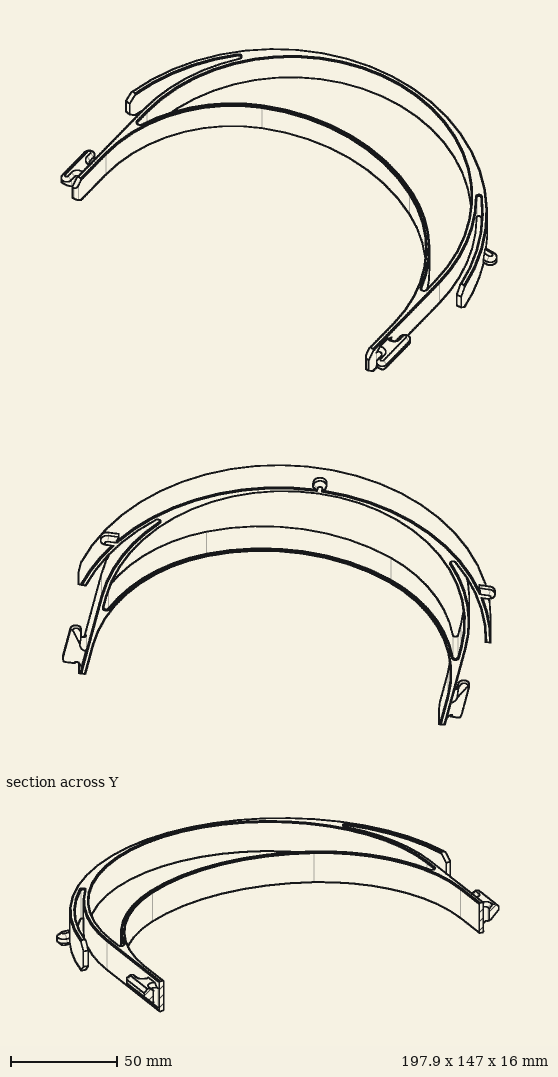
import math

import cadquery as cq


height = 16.0
edge_chamfer = 0.5
corner_cut = 4.0
half_width = 197.88 / 2
total_length = 146.96

main_inner_radius = 85.0
main_thickness = 2.5
main_outer_radius = main_inner_radius + main_thickness
arm_end_y = -55.0
arm_end_rounding = 1.5

visor_outer_radius = 100.0
visor_thickness = 2.5
visor_inner_radius = visor_outer_radius - visor_thickness
visor_center_y = main_outer_radius - visor_outer_radius
visor_end_angle = 180 - math.degrees(math.acos(half_width / visor_outer_radius))
visor_slot_radius = 1.0

forehead_thickness = 1.8
forehead_front_y = 46.9
middle_outer_radius = 99.2
middle_inner_radius = middle_outer_radius - forehead_thickness
middle_center_y = forehead_front_y - middle_outer_radius
side_inner_radius = 75.0
side_outer_radius = side_inner_radius + forehead_thickness
side_center_x = side_inner_radius - main_inner_radius
arc_center_distance = middle_inner_radius - side_inner_radius
side_center_y = middle_center_y + math.sqrt(arc_center_distance**2 - side_center_x**2)
blend_angle = math.degrees(math.atan2(side_center_y - middle_center_y, side_center_x))
forehead_slot_radius = 1.2

pin_width = 6.2
pin_height = 6.2
pin_chamfer = 2.0
pin_tip_y = total_length + arm_end_y
side_pin_tip_x = -94.6
side_pin_y = 34.6
pin_length = 20.0
pin_trim_radius = visor_outer_radius - visor_thickness / 2

hook_outer_x = -95.7
hook_bar_width = 5.2
hook_bar_inner_x = hook_outer_x + hook_bar_width
hook_back_y = -54.6
hook_front_y = -31.8
neck_back_y = -47.7
neck_front_y = -38.7
hook_top_z = 13.6
hook_chamfer = 1.8
hook_rim_bottom_z = 9.9
hook_root_x = -main_outer_radius + edge_chamfer
hook_overrun = 8.0
hook_overrun_x = -main_outer_radius + hook_overrun


def polar(center, radius, angle):
    """Point on a circle, with the angle in degrees from +X."""
    turn = math.radians(angle)
    return (center[0] + radius * math.cos(turn), center[1] + radius * math.sin(turn))


def angle_to(center, point):
    """Direction from center to point in degrees, from 0 to 360."""
    return math.degrees(math.atan2(point[1] - center[1], point[0] - center[0])) % 360


def add_arc(wire, center, radius, start_angle, end_angle):
    """Continue the wire along an arc from its current point."""
    middle = polar(center, radius, (start_angle + end_angle) / 2)
    return wire.threePointArc(middle, polar(center, radius, end_angle))


def make_half_bands():
    """Left half of the three joined bands, with sharp edges."""
    main_center = (0, 0)
    visor_center = (0, visor_center_y)
    middle_center = (0, middle_center_y)
    side_center = (side_center_x, side_center_y)

    to_visor = visor_inner_radius - visor_slot_radius
    to_main = main_outer_radius + visor_slot_radius
    slot_y = (to_main**2 + visor_center_y**2 - to_visor**2) / (2 * visor_center_y)
    visor_slot = (-math.sqrt(to_main**2 - slot_y**2), slot_y)
    visor_touch = angle_to(visor_center, visor_slot)
    main_touch = angle_to(main_center, visor_slot)

    slot_x = -main_inner_radius + forehead_slot_radius
    to_side = side_outer_radius + forehead_slot_radius
    forehead_slot = (
        slot_x,
        side_center_y + math.sqrt(to_side**2 - (slot_x - side_center_x) ** 2),
    )
    side_touch = angle_to(side_center, forehead_slot)

    wire = cq.Workplane("XY").moveTo(0, main_outer_radius)
    wire = add_arc(wire, visor_center, visor_outer_radius, 90, visor_end_angle)
    wire = wire.lineTo(*polar(visor_center, visor_inner_radius, visor_end_angle))
    wire = add_arc(wire, visor_center, visor_inner_radius, visor_end_angle, visor_touch)
    wire = add_arc(wire, visor_slot, visor_slot_radius, visor_touch, main_touch - 180)
    wire = add_arc(wire, main_center, main_outer_radius, main_touch, 180)
    wire = wire.lineTo(-main_outer_radius, arm_end_y)
    wire = wire.lineTo(-main_inner_radius - arm_end_rounding, arm_end_y)
    rounding_center = (-main_inner_radius - arm_end_rounding, arm_end_y + arm_end_rounding)
    wire = add_arc(wire, rounding_center, arm_end_rounding, -90, 0)
    wire = wire.lineTo(-main_inner_radius, side_center_y)
    wire = add_arc(wire, side_center, side_inner_radius, 180, blend_angle)
    wire = add_arc(wire, middle_center, middle_inner_radius, blend_angle, 90)
    wire = wire.lineTo(0, forehead_front_y)
    wire = add_arc(wire, middle_center, middle_outer_radius, 90, blend_angle)
    wire = add_arc(wire, side_center, side_outer_radius, blend_angle, side_touch)
    wire = add_arc(wire, forehead_slot, forehead_slot_radius, side_touch + 180, 180)
    wire = wire.lineTo(-main_inner_radius, 0)
    wire = add_arc(wire, main_center, main_inner_radius, 180, 90)
    return wire.close().extrude(height)


def make_corner_cutter(end_point, turn):
    """Pair of wedges that bevel the top and bottom corners of a band end.

    The band runs along +Y from end_point before the wedges are turned about it.
    """
    cutter = cq.Workplane("XY")
    for edge_z, inward in ((0, 1), (height, -1)):
        wedge = (
            cq.Workplane("YZ")
            .polyline(
                [
                    (-corner_cut, edge_z - inward * corner_cut),
                    (2 * corner_cut, edge_z - inward * corner_cut),
                    (-corner_cut, edge_z + inward * 2 * corner_cut),
                ]
            )
            .close()
            .extrude(2 * main_thickness, both=True)
        )
        cutter = cutter.add(wedge)
    cutter = cutter.combine()
    return cutter.rotate((0, 0, 0), (0, 0, 1), turn).translate((*end_point, 0))


def make_pin(tip, turn):
    """Round-ended pin with bevelled faces, pointing along +X before the turn."""
    pin = (
        cq.Workplane("XY")
        .center(-pin_length / 2, 0)
        .slot2D(pin_length, pin_width)
        .extrude(pin_height)
        .faces("<Z or >Z")
        .chamfer(pin_chamfer)
        .rotate((0, 0, 0), (0, 0, 1), turn)
        .translate((*tip, 0))
    )
    visor_core = cq.Workplane("XY").center(0, visor_center_y).circle(pin_trim_radius).extrude(height)
    return pin.cut(visor_core)


def make_hook():
    """T-shaped strap hook with a bevelled top and sloping underside."""
    bar_radius = hook_bar_width / 2
    notch_width = -main_outer_radius - hook_bar_inner_x
    notch_radius = notch_width / 2
    bar_front = hook_front_y - bar_radius
    bar_back = hook_back_y + bar_radius
    neck_front_wall = neck_front_y + notch_radius
    neck_back_wall = neck_back_y - notch_radius

    plate = (
        cq.Workplane("XY")
        .moveTo(hook_outer_x, bar_back)
        .lineTo(hook_outer_x, bar_front)
        .threePointArc((hook_outer_x + bar_radius, hook_front_y), (hook_bar_inner_x, bar_front))
        .lineTo(hook_bar_inner_x, neck_front_wall)
        .threePointArc(
            (hook_bar_inner_x + notch_radius, neck_front_y), (-main_outer_radius, neck_front_wall)
        )
        .lineTo(hook_overrun_x, neck_front_wall)
        .lineTo(hook_overrun_x, neck_back_wall)
        .lineTo(-main_outer_radius, neck_back_wall)
        .threePointArc((hook_bar_inner_x + notch_radius, neck_back_y), (hook_bar_inner_x, neck_back_wall))
        .lineTo(hook_bar_inner_x, bar_back)
        .threePointArc((hook_outer_x + bar_radius, hook_back_y), (hook_outer_x, bar_back))
        .close()
        .extrude(hook_top_z)
        .faces(">Z")
        .chamfer(hook_chamfer)
    )

    root_drop = hook_root_x - hook_outer_x
    slope_profile = (
        cq.Workplane("XZ")
        .moveTo(hook_outer_x, hook_top_z)
        .lineTo(hook_outer_x, hook_rim_bottom_z)
        .lineTo(hook_root_x, hook_rim_bottom_z - root_drop)
        .lineTo(hook_root_x, hook_top_z)
        .close()
        .extrude(-2 * arm_end_y, both=True)
    )

    front_drop = hook_front_y - neck_front_wall
    back_drop = neck_back_wall - hook_back_y
    taper_profile = (
        cq.Workplane("YZ")
        .moveTo(hook_front_y, hook_top_z)
        .lineTo(hook_front_y, hook_rim_bottom_z)
        .lineTo(neck_front_wall, hook_rim_bottom_z - front_drop)
        .lineTo(neck_front_wall, 0)
        .lineTo(neck_back_wall, 0)
        .lineTo(neck_back_wall, hook_rim_bottom_z - back_drop)
        .lineTo(hook_back_y, hook_rim_bottom_z)
        .lineTo(hook_back_y, hook_top_z)
        .close()
        .extrude(2 * hook_outer_x)
    )
    return plate.intersect(slope_profile).intersect(taper_profile)


bands = make_half_bands()
bands = bands.union(bands.mirror("YZ")).clean()
bands = bands.faces("<Z or >Z").chamfer(edge_chamfer)

arm_end = (-main_outer_radius + main_thickness / 2, arm_end_y)
visor_end = polar((0, visor_center_y), visor_outer_radius - visor_thickness / 2, visor_end_angle)
left_cutters = make_corner_cutter(arm_end, 0).union(
    make_corner_cutter(visor_end, visor_end_angle - 180)
)
left_parts = make_hook().union(make_pin((side_pin_tip_x, side_pin_y), 180))

result = (
    bands.cut(left_cutters)
    .cut(left_cutters.mirror("YZ"))
    .union(left_parts)
    .union(left_parts.mirror("YZ"))
    .union(make_pin((0, pin_tip_y), 90))
)